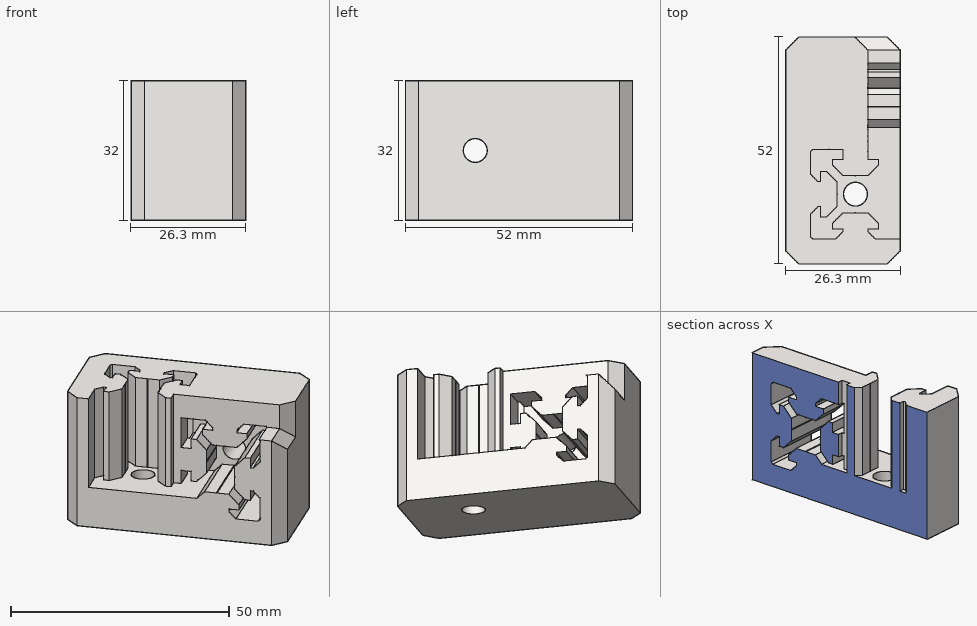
import cadquery as cq

width = 26.25
length = 52.0
height = 32.0
edge_chamfer = 3.0

axis_inset = height / 2
bar_half = width - axis_inset
bar_corner = 0.45
floor = 9.9
bolt_diameter = 5.4

upright_x = axis_inset
upright_y = axis_inset
cross_y = length - axis_inset
cross_z = axis_inset

neck_half = 2.85
wing_half = 5.25
key_tip = 4.25
wing_shoulder = key_tip + wing_half - neck_half
wing_base = 7.95
flare_start = 8.6
flare_half = neck_half + bar_half - flare_start
ridge = 0.1

step_x = upright_x + neck_half
step_y = upright_y + wing_base
step_rise = 10.1
step_z = cross_z + step_rise


def box_between(low, high):
    """Box from its lowest corner to its highest corner."""
    size = [end - start for start, end in zip(low, high)]
    return cq.Workplane("XY").box(*size, centered=False).translate(low)


def slot_key(angle, key_length, flared):
    """Key along +Z beside the origin, on the +Y side before it is turned by the angle."""
    half = [
        (ridge, key_tip),
        (neck_half, key_tip),
        (wing_half, wing_shoulder),
        (wing_half, wing_base),
        (neck_half, wing_base),
    ]
    if flared:
        half += [(neck_half, flare_start), (flare_half, bar_half)]
    else:
        half.append((neck_half, bar_half))
    mirrored = [(-across, out) for across, out in reversed(half)]
    outline = [(0, key_tip - ridge)] + half + mirrored
    key = cq.Workplane("XY").polyline(outline).close().extrude(key_length)
    return key.rotate((0, 0, 0), (0, 0, 1), angle)


def bar_pocket(depth, chamfered_sides, keys):
    """Square pocket along +Z around the origin, less its keys (angle, length, flared)."""
    pocket = cq.Workplane("XY").rect(2 * bar_half, 2 * bar_half).extrude(depth)
    pocket = pocket.edges(f"|Z and ({chamfered_sides})").chamfer(bar_corner)
    for angle, key_length, flared in keys:
        pocket = pocket.cut(slot_key(angle, key_length, flared))
    return pocket


def outer_body():
    """Chamfered block whose rear +X part is lowered to just below the top of the cross pocket."""
    block = box_between((0, 0, 0), (width, length, height)).edges("|Z").chamfer(edge_chamfer)
    front = box_between((0, 0, 0), (width, step_y, height))
    rear_tall = box_between((0, step_y, 0), (step_x, length, height))
    rear_tall = rear_tall.edges("|Z and >X and >Y").chamfer(edge_chamfer)
    rear_low = box_between((0, step_y, 0), (width, length, step_z))
    rear_low = rear_low.edges("|X and >Y and >Z").chamfer(edge_chamfer)
    return block.intersect(front.union(rear_tall).union(rear_low))


def upright_pocket():
    """Pocket for the upright bar, open at the top and at +X, with keys at +Y, -X and -Y."""
    depth = height - floor
    keys = [(0, depth, False), (90, depth, True), (180, depth, True)]
    return bar_pocket(depth, "<X", keys).translate((upright_x, upright_y, floor))


def cross_pocket():
    """Pocket for the cross bar, open at +X; its front and top keys end at the step."""
    depth = width - floor
    short = step_x - floor
    keys = [(0, short, True), (90, short, False), (180, depth, True), (270, depth, True)]
    pocket = bar_pocket(depth, "<Y or >X", keys)
    pocket = pocket.rotate((0, 0, 0), (1, 1, 1), 120).translate((floor, cross_y, cross_z))
    pad = box_between((0, 0, 0), (width, cross_y - neck_half, floor))
    return pocket.cut(pad)


def step_clearance():
    """Opening between the two pockets, beside the full-height part."""
    return box_between((step_x, step_y, floor), (width, cross_y - bar_half, height))


def bolt_holes():
    """Through holes on both bar axes."""
    radius = bolt_diameter / 2
    upright = cq.Workplane("XY").center(upright_x, upright_y).circle(radius).extrude(height)
    cross = cq.Workplane("YZ").center(cross_y, cross_z).circle(radius).extrude(width)
    return upright.union(cross)


result = outer_body().cut(upright_pocket()).cut(cross_pocket()).cut(step_clearance()).cut(bolt_holes())